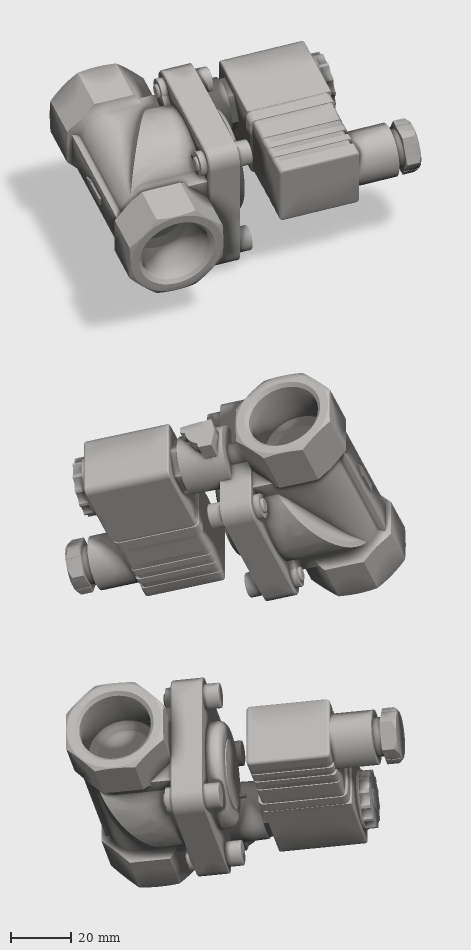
import cadquery as cq
import math


stack_x = 0.95
bolt_half_pitch = 19.15
flange_length = 50.5
flange_width = 50.9
flange_corner_radius = 5.6
flange_bottom_y = 16.3
joint_y = 21.4
cover_top_y = 27.0
pilot_x = -23.95
pilot_top_y = 41.4
port_boss_diameter = 8.5
port_boss_foot_y = 14.5
hexagon_sides = 6

pipe_length = 78.8
octagon_sides = 8
octagon_across_flats = 32.8
left_end_length = 17.2
right_end_length = 15.3
end_chamfer_length = 0.9
end_face_radius = 16.1
envelope_clearance = 0.1
bore_diameter = 24.12
bore_depth = 17.5
bore_mouth_diameter = 26.5
bore_cone_diameter = 18.4
bore_cone_half_angle = 60.0
waist_half_width = 14.0
waist_corner_radius = 10.0
waist_corner_y = -3.1
neck_radius = 3.4
neck_length = 4.4
neck_plate = 0.5
rail_half_width = 6.05
rail_draft = 0.7
rail_root_y = -12.95
rail_face_y = -14.85
arrow_height = 0.75
arrow_tip_x = -6.3
arrow_head_x = -1.8
arrow_tail_x = 6.9
arrow_head_half_width = 1.75
arrow_tail_half_width = 1.3
chamber_half_length = 22.6
chamber_half_height = 21.6
slope_angle = 27.4
underside_y = 0.0
underside_bevel = 0.5
underside_bevel_width = 2.1
pad_radius = 4.2
pad_height = 2.2
web_half_width = 3.5
screw_diameter = 5.0
screw_tip_length = 0.9
screw_tip_chamfer = 0.4
flange_edge_chamfer = 0.4

screw_head_diameter = 8.5
screw_head_top_y = 32.2
screw_head_round = 0.4
dome_radius = 18.0
dome_round = 2.8
dome_top_y = 32.1
disc_radius = 11.7
disc_height = 0.4
pin_diameter = 1.7
pin_x = -13.6
pin_top_y = 34.2
pilot_bottom_y = 22.9
pilot_shoulder_y = 38.9
pilot_base_diameter = 20.6
pilot_diameter = 20.2
pilot_top_diameter = 19.6
pilot_nut_diameter = 18.3
lever_end_x = -38.87
lever_edge = [(29.8, 4.55), (25.1, 4.76), (23.9, 0), (25.1, -6.1), (29.6, -5.95), (30.1, -4.2)]
lever_scoop_middle = (32.9, -2.1)
lever_tip = [(34.3, 1.26), (35.6, 1.6), (36.05, 2.1), (36.05, 3.7), (35.7, 4.0)]

coil_left_x = -34.8
coil_right_x = -6.75
coil_bottom_y = pilot_top_y
coil_top_y = 71.1
coil_depth = 22.6
coil_corner_radius = 2.4
coil_edge_round = 0.6
gasket_neck_bottom_y = 41.2
gasket_neck_top_y = 70.4
gasket_neck_depth = 22.4
gasket_left_x = -5.8
gasket_right_x = -1.55
gasket_bottom_y = 40.6
gasket_top_y = 70.6
gasket_depth = 23.0
gasket_round = 2.0
plug_right_x = 24.75
plug_end_round = 0.9
plug_bottom_y = 41.6
plug_top_y = 69.75
plug_depth = 22.4
plug_round = 1.3
groove_side_depth = 0.3
groove_top_depth = 1.0
grooves = [(7.2, 2.8, 0), (12.5, 2.3, groove_top_depth), (17.3, 2.5, groove_top_depth)]
gland_x = 15.3
gland_diameter = 18.4
gland_top_y = 83.75
gland_neck_diameter = 13.2
gland_nut_bottom_y = 86.5
gland_nut_top_y = 91.85
gland_nut_corners = 18.7
gland_nut_chamfer = 1.3
gland_relief_width = 3.8
gland_relief_depth = 0.15
knob_rim_diameter = 20.2
knob_rim_top_y = 72.1
knob_diameter = 19.8
knob_top_y = 75.4
knob_scallops = 12
knob_scallop_diameter = 6.0
knob_scallop_offset = 11.87
knob_button_diameter = 7.1
knob_button_height = 0.25


def plane_at(y, x=0.0, z=0.0):
    """Workplane at height y; local axes X and Z, extruding towards -Y."""
    return cq.Workplane("XZ", origin=(x, y, z))


def disc(diameter, y_low, y_high, x=0.0, z=0.0):
    """Cylinder along Y."""
    return plane_at(y_high, x, z).circle(diameter / 2).extrude(y_high - y_low)


def block(x_low, x_high, y_low, y_high, depth):
    """Box centred on Z = 0."""
    middle = ((x_low + x_high) / 2, (y_low + y_high) / 2, 0)
    return cq.Workplane("XY").box(x_high - x_low, y_high - y_low, depth).translate(middle)


def hex_prism(corner_diameter, y_low, y_high, x):
    """Hexagonal prism along Y with two corners on the X direction."""
    return plane_at(y_high, x).polygon(hexagon_sides, corner_diameter).extrude(y_high - y_low)


def flange_plate(y_low, y_high):
    plate = plane_at(y_high, stack_x).rect(flange_length, flange_width).extrude(y_high - y_low)
    return plate.edges("|Y").fillet(flange_corner_radius)


bolt_centres = [
    (stack_x + side_x * bolt_half_pitch, side_z * bolt_half_pitch)
    for side_x in (-1, 1)
    for side_z in (-1, 1)
]


left_face_x = -pipe_length / 2
right_face_x = pipe_length / 2
waist_left_x = left_face_x + left_end_length
waist_right_x = right_face_x - right_end_length
octagon_corners = octagon_across_flats / math.cos(math.pi / octagon_sides)


def octagon_bar(x_low, x_high):
    """Octagonal bar along X with a flat facing each of Y and Z."""
    start = cq.Workplane("YZ", origin=(x_low, 0, 0))
    bar = start.polygon(octagon_sides, octagon_corners).extrude(x_high - x_low)
    return bar.rotate((0, 0, 0), (1, 0, 0), 180 / octagon_sides)


def end_envelope():
    """Turned shape that rounds off the corners of the octagonal ends."""
    outer = octagon_corners / 2 + envelope_clearance
    half = pipe_length / 2
    profile = [
        (-half, 0),
        (-half, end_face_radius),
        (-half + end_chamfer_length, outer),
        (half - end_chamfer_length, outer),
        (half, end_face_radius),
        (half, 0),
    ]
    return cq.Workplane("XY").polyline(profile).close().revolve(360, (0, 0, 0), (1, 0, 0))


def waist_bar(x_low, x_high):
    """Mid section: flat sides up to the flange, rounded lower corners."""
    corner_z = waist_half_width - waist_corner_radius
    outline = (
        cq.Workplane("YZ", origin=(x_low, 0, 0))
        .moveTo(flange_bottom_y, -waist_half_width)
        .lineTo(waist_corner_y, -waist_half_width)
        .radiusArc((waist_corner_y - waist_corner_radius, -corner_z), waist_corner_radius)
        .lineTo(waist_corner_y - waist_corner_radius, corner_z)
        .radiusArc((waist_corner_y, waist_half_width), waist_corner_radius)
        .lineTo(flange_bottom_y, waist_half_width)
        .close()
    )
    return outline.extrude(x_high - x_low)


def neck(end_x, direction):
    """Waist flaring with a concave round into an octagonal end."""
    reach = end_x + direction * neck_length
    low, high = min(end_x, reach), max(end_x, reach)
    plate_far = end_x - direction * neck_plate
    size = 4 * octagon_across_flats
    plate = block(min(end_x, plate_far), max(end_x, plate_far), -size / 2, size / 2, size)
    stub = waist_bar(low, high).union(plate)
    lower_y = waist_corner_y - waist_corner_radius
    margin = 0.1
    picker = cq.selectors.BoxSelector(
        (end_x - margin, lower_y - margin, -waist_half_width - margin),
        (end_x + margin, flange_bottom_y - margin, waist_half_width + margin),
    )
    flared = stub.edges(picker).fillet(neck_radius)
    return flared.intersect(octagon_bar(low, high))


def rail():
    """Drafted flat rail along the underside of the waist."""
    face_half_width = rail_half_width - rail_draft
    outline = [
        (waist_corner_y, -rail_half_width),
        (rail_root_y, -rail_half_width),
        (rail_face_y, -face_half_width),
        (rail_face_y, face_half_width),
        (rail_root_y, rail_half_width),
        (waist_corner_y, rail_half_width),
    ]
    start = cq.Workplane("YZ", origin=(waist_left_x, 0, 0))
    return start.polyline(outline).close().extrude(waist_right_x - waist_left_x)


def flow_arrow():
    upper = [
        (arrow_tip_x, 0),
        (arrow_head_x, arrow_head_half_width),
        (arrow_head_x, arrow_tail_half_width),
        (arrow_tail_x, arrow_tail_half_width),
    ]
    lower = [(x, -z) for x, z in reversed(upper[1:])]
    return plane_at(rail_face_y).polyline(upper + lower).close().extrude(arrow_height)


def chamber():
    """Slightly oval chamber under the flange, cut off by a sloping underside."""
    depth = flange_bottom_y - rail_face_y
    outline = plane_at(flange_bottom_y, stack_x).ellipse(chamber_half_length, chamber_half_height)
    drum = outline.extrude(depth)
    size = 4 * chamber_half_length
    slope = math.radians(slope_angle)
    slope_normal = cq.Vector(-math.sin(slope), -math.cos(slope), 0)
    below = (
        cq.Workplane("XY")
        .box(size, size, size)
        .translate((0, -size / 2, 0))
        .rotate((0, 0, 0), (0, 0, 1), -slope_angle)
        .translate((stack_x, underside_y, 0))
    )
    sloped = drum.cut(below)
    underside = sloped.faces(cq.selectors.DirectionMinMaxSelector(slope_normal, True))
    return underside.edges().chamfer(underside_bevel, underside_bevel_width)


def screw_pads():
    """Bosses under the flange corners, each tied to the chamber by a web, with the screw tips."""
    low = flange_bottom_y - pad_height
    pads = cq.Workplane("XY")
    for x, z in bolt_centres:
        pads = pads.union(disc(2 * pad_radius, low, flange_bottom_y, x, z))
        web_length = bolt_half_pitch * math.sqrt(2) - chamber_half_length / 2
        heading = math.degrees(math.atan2(-z, stack_x - x))
        web = (
            cq.Workplane("XY")
            .box(web_length, pad_height, 2 * web_half_width)
            .translate((web_length / 2, low + pad_height / 2, 0))
            .rotate((0, 0, 0), (0, 1, 0), -heading)
            .translate((x, 0, z))
        )
        tip = disc(screw_diameter, low - screw_tip_length, low, x, z)
        pads = pads.union(web).union(tip.faces("<Y").chamfer(screw_tip_chamfer))
    return pads


def pipe_bore(face_x, direction):
    """Threaded port: mouth chamfer, bore and conical bottom."""
    mouth_r = bore_mouth_diameter / 2
    bore_r = bore_diameter / 2
    cone_r = bore_cone_diameter / 2
    steps = [(0, 0), (0, mouth_r), (mouth_r - bore_r, bore_r), (bore_depth, bore_r)]
    cone_length = (bore_r - cone_r) / math.tan(math.radians(bore_cone_half_angle))
    steps += [(bore_depth + cone_length, cone_r), (bore_depth + cone_length, 0)]
    profile = [(face_x + direction * along, radius) for along, radius in steps]
    return cq.Workplane("XY").polyline(profile).close().revolve(360, (0, 0, 0), (1, 0, 0))


def make_valve_body():
    ends = octagon_bar(left_face_x, waist_left_x).union(octagon_bar(waist_right_x, right_face_x))
    body = ends.intersect(end_envelope())
    body = body.union(waist_bar(waist_left_x, waist_right_x))
    body = body.union(neck(waist_left_x, 1)).union(neck(waist_right_x, -1))
    body = body.union(rail()).union(flow_arrow()).union(chamber())
    flange = flange_plate(flange_bottom_y, joint_y).faces("<Y").chamfer(flange_edge_chamfer)
    body = body.union(flange).union(screw_pads())
    body = body.union(disc(port_boss_diameter, port_boss_foot_y, joint_y, pilot_x))
    return body.cut(pipe_bore(left_face_x, 1)).cut(pipe_bore(right_face_x, -1))


def lever():
    """Manual override lever on the side of the pilot head."""
    outline = (
        cq.Workplane("YZ", origin=(lever_end_x, 0, 0))
        .polyline(lever_edge)
        .threePointArc(lever_scoop_middle, lever_tip[0])
        .polyline(lever_tip[1:], includeCurrent=True)
        .close()
    )
    return outline.extrude(pilot_x - lever_end_x)


def pilot_head():
    head = disc(port_boss_diameter, joint_y, pilot_bottom_y, pilot_x)
    head = head.union(disc(pilot_base_diameter, pilot_bottom_y, cover_top_y, pilot_x))
    barrel = (
        plane_at(cover_top_y, pilot_x)
        .circle(pilot_diameter / 2)
        .workplane(offset=cover_top_y - pilot_shoulder_y)
        .circle(pilot_top_diameter / 2)
        .loft()
    )
    nut = hex_prism(pilot_nut_diameter, pilot_shoulder_y, pilot_top_y, pilot_x)
    return head.union(barrel).union(nut).union(lever())


def make_cover():
    cover = flange_plate(joint_y, cover_top_y)
    dome = disc(2 * dome_radius, cover_top_y, dome_top_y, stack_x)
    cover = cover.union(dome.faces(">Y").edges().fillet(dome_round))
    cover = cover.union(disc(2 * disc_radius, dome_top_y, dome_top_y + disc_height, stack_x))
    for x, z in bolt_centres:
        head = disc(screw_head_diameter, cover_top_y, screw_head_top_y, x, z)
        cover = cover.union(head.faces(">Y").edges().fillet(screw_head_round))
    cover = cover.union(disc(pin_diameter, cover_top_y, pin_top_y, pin_x))
    return cover.union(pilot_head())


def coil_block():
    coil = block(coil_left_x, coil_right_x, coil_bottom_y, coil_top_y, coil_depth)
    coil = coil.edges("|Y and <X").fillet(coil_corner_radius)
    return coil.faces("<Y or >Y").edges().fillet(coil_edge_round)


def coil_knob():
    """Scalloped retaining knob on top of the coil."""
    knob = disc(knob_diameter, knob_rim_top_y, knob_top_y, pilot_x)
    for index in range(knob_scallops):
        angle = 2 * math.pi * index / knob_scallops
        x = pilot_x + knob_scallop_offset * math.cos(angle)
        z = knob_scallop_offset * math.sin(angle)
        knob = knob.cut(disc(knob_scallop_diameter, knob_rim_top_y, knob_top_y, x, z))
    knob = knob.union(disc(knob_rim_diameter, coil_top_y, knob_rim_top_y, pilot_x))
    button_top = knob_top_y + knob_button_height
    return knob.union(disc(knob_button_diameter, knob_top_y, button_top, pilot_x))


def plug():
    """Connector housing with grip grooves on its top and both sides."""
    housing = block(gasket_right_x, plug_right_x, plug_bottom_y, plug_top_y, plug_depth)
    housing = housing.edges("|X").fillet(plug_round)
    housing = housing.edges("|Y and >X").fillet(plug_end_round)
    core_depth = plug_depth - 2 * groove_side_depth
    for start, width, top_depth in grooves:
        ring = block(start, start + width, plug_bottom_y, plug_top_y, plug_depth)
        core = block(start, start + width, plug_bottom_y, plug_top_y - top_depth, core_depth)
        housing = housing.cut(ring.cut(core.edges("|X").fillet(plug_round)))
    return housing


def cable_gland():
    gland = disc(gland_diameter, plug_top_y - 2 * plug_round, gland_top_y, gland_x)
    gland = gland.union(disc(gland_neck_diameter, gland_top_y, gland_nut_bottom_y, gland_x))
    nut = hex_prism(gland_nut_corners, gland_nut_bottom_y, gland_nut_top_y, gland_x)
    blank = disc(gland_nut_corners, gland_nut_bottom_y, gland_nut_top_y, gland_x)
    nut = nut.intersect(blank.faces(">Y").chamfer(gland_nut_chamfer))
    flat_distance = gland_nut_corners / 2 * math.cos(math.pi / hexagon_sides)
    nut_height = gland_nut_top_y - gland_nut_bottom_y
    for index in range(hexagon_sides):
        relief = (
            cq.Workplane("XY")
            .box(gland_relief_width, nut_height, 2 * gland_relief_depth)
            .translate((0, gland_nut_bottom_y + nut_height / 2, flat_distance))
            .rotate((0, 0, 0), (0, 1, 0), 360 / hexagon_sides * index)
            .translate((gland_x, 0, 0))
        )
        nut = nut.cut(relief)
    return gland.union(nut)


def make_coil():
    neck_size = (gasket_neck_bottom_y, gasket_neck_top_y, gasket_neck_depth)
    gasket = block(coil_right_x, gasket_left_x, *neck_size)
    gasket = gasket.union(block(gasket_left_x, gasket_right_x, gasket_bottom_y, gasket_top_y, gasket_depth))
    gasket = gasket.edges("|X").fillet(gasket_round)
    return coil_block().union(coil_knob()).union(gasket).union(plug()).union(cable_gland())


valve_body = make_valve_body().solids()
cover = make_cover().solids()
coil = make_coil().solids()
result = cq.Compound.makeCompound([valve_body.val(), cover.val(), coil.val()])